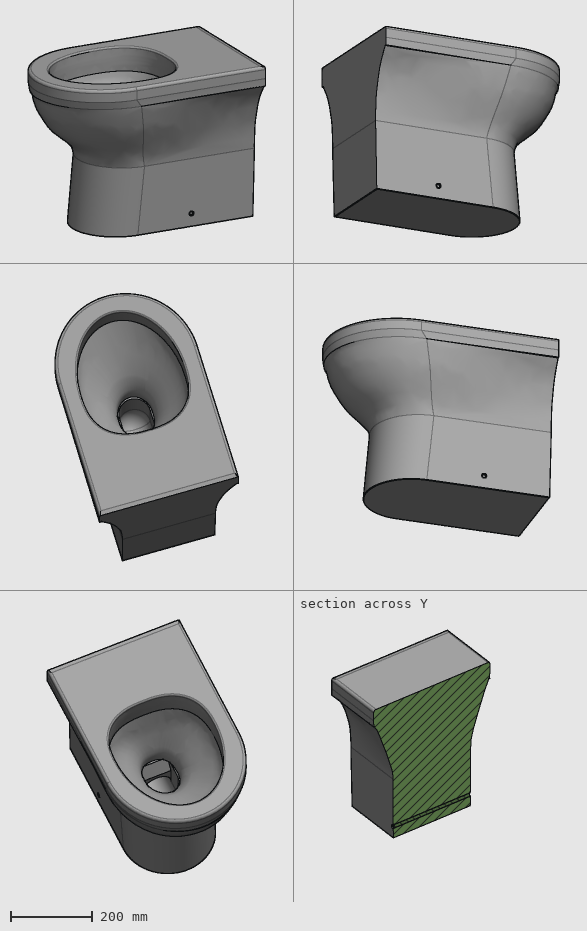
import cadquery as cq
import math


length = 541.5
half_width = 177.5
height = 404.5

foot_top = 176.5
rim_bottom = 354.0
rim_widest = 373.5

foot_half_width = 118.0
foot_front = 439.5
foot_back = 4.0
neck_half_width = 119.0
neck_front = 423.5
foot_front_center = 321.0
neck_front_center = 303.0
floor_chamfer = 1.5

rim_front_center = 354.5
rim_bottom_half_width = 175.5
rim_bottom_center = 341.0
rim_bottom_front = 539.0
rim_fillet = 7.5
back_slope_run = 11.5
back_slope_drop = 1.5

opening_half_width = 132.0
opening_center = 308.5
opening_front = 492.5
opening_back = 179.5
opening_fillet = 4.5
bowl_wall_bottom = 341.0
rear_roundness = 2.5
front_roundness = 2.0
outline_steps = 24

trap_diameter = 78.0
trap_radius = trap_diameter / 2
sump_front = 333.5
sump_axis = sump_front - trap_radius
sump_top = 200.5
trap_level = 119.0
trap_back = 205.5
ledge_back = 235.5
ledge_front = sump_axis - trap_radius
ledge_drop = 32.5

rod_diameter = 8.0
rod_hole_mouth = 12.5
rod_recess = 2.0
mouth_depth = 4.5
rod_from_back = 172.5
rod_level = 34.0

body_sections = [
    (foot_top, neck_half_width, neck_half_width, neck_front),
    (198.0, 119.0, 122.0, 428.5),
    (216.5, 120.0, 128.0, 444.0),
    (243.5, 123.5, 140.0, 478.0),
    (270.5, 130.0, 153.0, 501.0),
    (297.5, 138.5, 163.0, 517.5),
    (325.0, 151.5, 170.0, 529.5),
    (rim_bottom, 172.0, rim_bottom_half_width, rim_bottom_front),
]

bowl_sections = [
    (bowl_wall_bottom, opening_half_width, opening_center, opening_front, opening_back),
    (308.5, 115.5, 303.0, 444.0, 192.0),
    (270.5, 78.5, 295.0, 387.0, 208.5),
    (238.0, 52.0, 288.0, 352.0, 224.5),
    (sump_top, 43.5, 287.0, 339.0, 230.0),
]


def outer_section(level, back, back_half, front_half, front_center, front):
    """D-shaped outline: straight back, flared sides and a half-elliptical front."""
    forward = cq.Vector(0, -1, 0)
    backward = cq.Vector(0, 1, 0)
    back_right = cq.Vector(back_half, -back, level)
    back_left = cq.Vector(-back_half, -back, level)
    front_right = cq.Vector(front_half, -front_center, level)
    front_left = cq.Vector(-front_half, -front_center, level)
    nose = cq.Edge.makeEllipse(
        front_half,
        front - front_center,
        cq.Vector(0, -front_center, level),
        angle1=180,
        angle2=360,
    )
    if back_half == front_half:
        right_side = cq.Edge.makeLine(back_right, front_right)
        left_side = cq.Edge.makeLine(front_left, back_left)
    else:
        right_side = cq.Edge.makeSpline([back_right, front_right], tangents=[forward, forward])
        left_side = cq.Edge.makeSpline([front_left, back_left], tangents=[backward, backward])
    wall_side = cq.Edge.makeLine(back_left, back_right)
    return cq.Wire.assembleEdges([wall_side, right_side, nose, left_side])


def bowl_section(level, half, center, front, back):
    """Egg-shaped outline: elliptical at the front, squarer at the back."""
    points = []
    for step in range(2 * outline_steps):
        angle = math.pi * step / outline_steps
        across = math.cos(angle)
        along = math.sin(angle)
        at_back = along > 0
        power = 2 / (rear_roundness if at_back else front_roundness)
        reach = center - back if at_back else front - center
        x = half * math.copysign(abs(across) ** power, across)
        y = -center + reach * math.copysign(abs(along) ** power, along)
        points.append(cq.Vector(x, y, level))
    return cq.Wire.assembleEdges([cq.Edge.makeSpline(points, periodic=True)])


def make_foot():
    sole_half_width = foot_half_width - floor_chamfer
    sole_front = foot_front - floor_chamfer
    sole_back = foot_back + floor_chamfer
    sole = outer_section(0, sole_back, sole_half_width, sole_half_width, foot_front_center, sole_front)
    base = outer_section(
        floor_chamfer, foot_back, foot_half_width, foot_half_width, foot_front_center, foot_front
    )
    neck = outer_section(foot_top, 0, neck_half_width, neck_half_width, neck_front_center, neck_front)
    return cq.Workplane(cq.Solid.makeLoft([sole, base, neck], True))


def make_middle():
    wires = []
    for level, back_half, front_half, front in body_sections:
        rise = (level - foot_top) / (rim_bottom - foot_top)
        front_center = neck_front_center + rise * (rim_bottom_center - neck_front_center)
        wires.append(outer_section(level, 0, back_half, front_half, front_center, front))
    return cq.Workplane(cq.Solid.makeLoft(wires))


def make_rim():
    bottom = outer_section(
        rim_bottom, 0, half_width, rim_bottom_half_width, rim_bottom_center, rim_bottom_front
    )
    widest = outer_section(rim_widest, 0, half_width, half_width, rim_front_center, length)
    lower = cq.Workplane(cq.Solid.makeLoft([bottom, widest], True))
    upper = cq.Workplane(cq.Solid.extrudeLinear(widest, [], cq.Vector(0, 0, height - rim_widest)))
    upper = upper.faces(">Z").edges("not >Y").fillet(rim_fillet)
    back_slope = (
        cq.Workplane("YZ", origin=(-half_width, 0, 0))
        .moveTo(-back_slope_run, height)
        .lineTo(0, height)
        .lineTo(0, height - back_slope_drop)
        .close()
        .extrude(2 * half_width)
    )
    return lower.union(upper.cut(back_slope))


def make_bowl_cavity():
    opening = bowl_section(
        bowl_wall_bottom, opening_half_width, opening_center, opening_front, opening_back
    )
    wall = cq.Workplane(cq.Solid.extrudeLinear(opening, [], cq.Vector(0, 0, height - bowl_wall_bottom)))
    funnel = cq.Workplane(cq.Solid.makeLoft([bowl_section(*section) for section in bowl_sections]))
    return wall.union(funnel)


def make_trap_cavity():
    """Upright sump with a sloped back ledge, rounded elbow and a blind passage towards the wall."""
    shaft = (
        cq.Workplane("XY", origin=(0, 0, trap_level))
        .center(0, -sump_axis)
        .circle(trap_radius)
        .extrude(sump_top - trap_level)
    )
    elbow = cq.Workplane("XY", origin=(0, -sump_axis, trap_level)).sphere(trap_radius)
    passage = (
        cq.Workplane("XZ", origin=(0, -sump_axis, trap_level))
        .circle(trap_radius)
        .extrude(trap_back - sump_axis)
    )
    ledge = (
        cq.Workplane("YZ", origin=(-trap_radius, 0, 0))
        .moveTo(-sump_axis, sump_top)
        .lineTo(-ledge_back, sump_top)
        .lineTo(-ledge_front, sump_top - ledge_drop)
        .lineTo(-ledge_front, trap_level)
        .lineTo(-sump_axis, trap_level)
        .close()
        .extrude(trap_diameter)
    )
    return shaft.union(elbow).union(passage).union(ledge)


def make_rod_hole():
    """Hole across the foot, widened where the ends of the rod lie below the surface."""
    bore = make_rod()
    for side in (-1, 1):
        outer = side * half_width
        inner = side * (neck_half_width - mouth_depth)
        mouth = (
            cq.Workplane("YZ", origin=(inner, -rod_from_back, rod_level))
            .circle(rod_hole_mouth / 2)
            .extrude(outer - inner)
        )
        bore = bore.union(mouth)
    return bore


def make_rod():
    reach = foot_half_width - rod_recess
    return (
        cq.Workplane("YZ", origin=(-reach, -rod_from_back, rod_level))
        .circle(rod_diameter / 2)
        .extrude(2 * reach)
    )


def make_pan():
    pan = make_foot().union(make_middle()).union(make_rim())
    pan = pan.cut(make_bowl_cavity())
    opening_edge = pan.faces(">Z").edges(cq.selectors.BoxSelector(
        (-opening_half_width, -opening_front, rim_bottom),
        (opening_half_width, -opening_back, 2 * height),
    ))
    pan = opening_edge.fillet(opening_fillet)
    return pan.cut(make_trap_cavity()).cut(make_rod_hole())


pan = make_pan()
rod = make_rod()

result = cq.Compound.makeCompound([pan.val(), rod.val()])